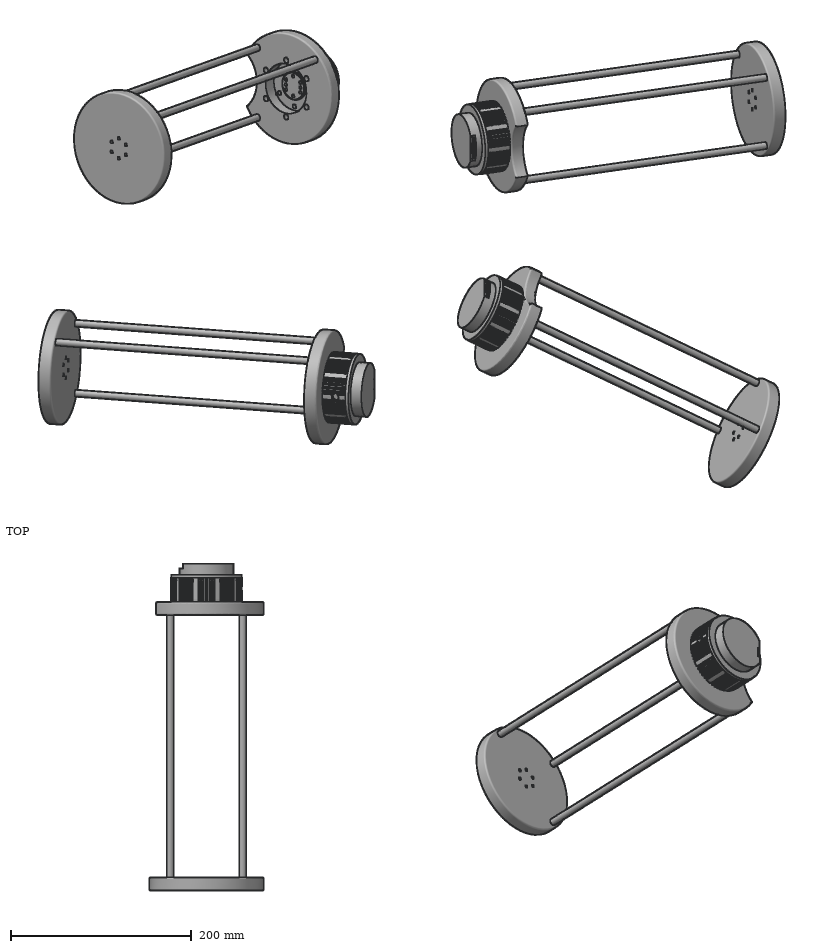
import cadquery as cq
import math

total_length = 362.0

plate_diameter = 127.0
plate_thickness = 15.0
plate_rounding = 2.0

rod_diameter = 8.0
rod_offset = 40.2
rod_length = 290.0

output_bolt_circle = 22.8
base_hole_diameter = 3.3
bolt_count = 6

bore_diameter = 57.0
plate_bolt_circle = 65.0
plate_hole_diameter = 6.0
notch_radius = 39.5
notch_center = 81.5

motor_diameter = 79.0
cap_diameter = 60.0
cap_length = 12.3
rim_diameter = 78.5
rim_thickness = 3.5
motor_edge_height = 3.0
motor_edge_width = 0.18
motor_bolt_circle = 47.8
motor_hole_diameter = 4.7
motor_hole_depth = 5.5

fin_pitch_count = 60
slots_per_group = 6
slot_width = 2.0
slot_depth = 2.5
slot_end_gap = 1.5
slot_ramp = 2.5

side_hole_diameter = 8.0
side_hole_depth = 5.5
side_hole_height = 15.0

socket_flat = 26.0
socket_depth = 5.5
pocket_top = 2.0
pocket_height = 1.5
pocket_width = 25.5
pocket_depth = 2.0
key_height = 1.0
key_width = 11.5

rotor_diameter = 32.2
rotor_height = 2.0
rotor_depth = 3.5
rotor_edge = 1.0
rotor_hole_diameter = 3.3
rotor_pin_circle = 20.3
rotor_pin_hole_diameter = 3.3

top_plate_y = plate_thickness + rod_length
motor_y = top_plate_y + plate_thickness
rim_rear_y = total_length - cap_length
rim_front_y = rim_rear_y - rim_thickness
motor_radius = motor_diameter / 2


def cylinder(diameter, start_y, length, x=0.0, z=0.0):
    """A cylinder along +Y that starts at start_y."""
    return cq.Workplane(cq.Solid.makeCylinder(
        diameter / 2, length, cq.Vector(x, start_y, z), cq.Vector(0, 1, 0)))


def hole_ring(circle_diameter, hole_diameter, start_y, length, count=bolt_count, start_angle=90.0):
    """Cylinders on a circle around the main axis."""
    ring = cq.Workplane()
    for i in range(count):
        angle = math.radians(start_angle + i * 360.0 / count)
        x = circle_diameter / 2 * math.cos(angle)
        z = circle_diameter / 2 * math.sin(angle)
        ring = ring.add(cylinder(hole_diameter, start_y, length, x, z))
    return ring.combine()


def make_base_plate():
    plate = cylinder(plate_diameter, 0, plate_thickness).edges().fillet(plate_rounding)
    return plate.cut(hole_ring(output_bolt_circle, base_hole_diameter, 0, plate_thickness))


def make_top_plate():
    plate = cylinder(plate_diameter, top_plate_y, plate_thickness)
    plate = plate.cut(cylinder(2 * notch_radius, top_plate_y, plate_thickness, -notch_center))
    plate = plate.faces("<Y or >Y").edges().fillet(plate_rounding)
    plate = plate.cut(cylinder(bore_diameter, top_plate_y, plate_thickness))
    return plate.cut(hole_ring(plate_bolt_circle, plate_hole_diameter, top_plate_y, plate_thickness))


def make_rod(x, z):
    return cylinder(rod_diameter, plate_thickness, rod_length, x, z)


def cut_fins(motor):
    """Cut groups of slots, open at the front and ramped at the rear, around the motor."""
    floor = motor_radius - slot_depth
    rear = rim_front_y - slot_end_gap
    slot = (
        cq.Workplane("XY")
        .workplane(offset=-slot_width / 2)
        .moveTo(floor, motor_y)
        .lineTo(floor, rear - slot_ramp)
        .lineTo(motor_radius, rear)
        .lineTo(motor_radius + slot_depth, rear)
        .lineTo(motor_radius + slot_depth, motor_y)
        .close()
        .extrude(slot_width)
    )
    cutters = []
    for i in range(fin_pitch_count):
        if i % slots_per_group:
            cutters.append(slot.rotate((0, 0, 0), (0, 1, 0), i * 360.0 / fin_pitch_count).val())
    return motor.cut(cq.Workplane(cq.Compound.makeCompound(cutters)))


def socket_block(outer_x, inner_x, top_depth, height, width):
    """A block across the -X side of the cap, top_depth below the rear face of the cap."""
    block = cq.Workplane("XY").box(inner_x - outer_x, height, width, centered=(False, False, True))
    return block.translate((outer_x, total_length - top_depth - height, 0))


def cut_socket(motor):
    """Cut the flat at the -X side of the cap, and the keyed connector pocket in it."""
    wall_x = -socket_flat
    recess = socket_block(-cap_diameter, wall_x, 0, socket_depth, cap_diameter)
    pocket = socket_block(wall_x, wall_x + pocket_depth, pocket_top, pocket_height, pocket_width)
    key = socket_block(wall_x, wall_x + pocket_depth, pocket_top - key_height, key_height, key_width)
    return motor.cut(recess).cut(pocket).cut(key)


def cut_side_hole(motor):
    """Drill the blind hole in the +X side of the motor."""
    start = cq.Vector(motor_radius - side_hole_depth, motor_y + side_hole_height, 0)
    drill = cq.Solid.makeCylinder(side_hole_diameter / 2, side_hole_depth, start, cq.Vector(1, 0, 0))
    return motor.cut(cq.Workplane(drill))


def make_motor():
    motor = cylinder(motor_diameter, motor_y, rim_front_y - motor_y)
    motor = motor.faces("<Y").chamfer(motor_edge_height, motor_edge_width)
    motor = cut_fins(motor)
    motor = motor.union(cylinder(rim_diameter, rim_front_y, rim_thickness))
    motor = motor.union(cylinder(cap_diameter, rim_rear_y, cap_length))
    motor = cut_socket(motor)
    motor = cut_side_hole(motor)
    motor = motor.cut(hole_ring(motor_bolt_circle, motor_hole_diameter, motor_y, motor_hole_depth))
    return motor.cut(cylinder(rotor_diameter, motor_y, rotor_depth))


def make_rotor():
    start_y = motor_y - rotor_height
    length = rotor_height + rotor_depth
    rotor = cylinder(rotor_diameter, start_y, length).faces("<Y").chamfer(rotor_edge)
    rotor = rotor.cut(hole_ring(output_bolt_circle, rotor_hole_diameter, start_y, length))
    return rotor.cut(hole_ring(rotor_pin_circle, rotor_pin_hole_diameter, start_y, length, 2, 0))


base_plate = make_base_plate()
top_plate = make_top_plate()
rods = [make_rod(sx * rod_offset, sz * rod_offset) for sx, sz in ((-1, 1), (-1, -1), (1, 1))]
motor = make_motor()
rotor = make_rotor()

result = cq.Compound.makeCompound(
    [base_plate.val(), top_plate.val(), *[rod.val() for rod in rods], motor.val(), rotor.val()]
)